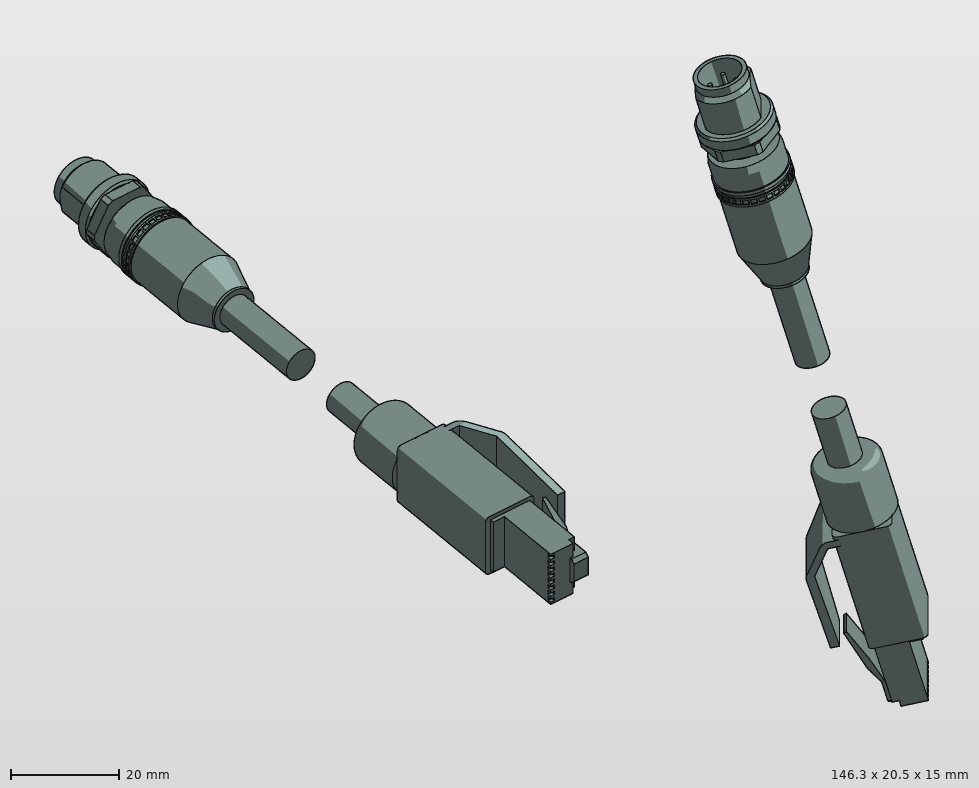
import cadquery as cq
import math


TOTAL_LENGTH = 146.3
TOTAL_WIDTH = 20.5
CABLE_RADIUS = 3.4

THREAD_RADIUS = 6.0
TIP_RADIUS = 5.1
TIP_LENGTH = 1.8
THREAD_START = 2.6
FLAT_HALF_WIDTH = 5.3
FLANGE_START = 10.0
FLANGE_END = 12.9
FLANGE_RADIUS = 15.0 / 2
FLANGE_CHAMFER = 0.5
HEX_END = 15.2
HEX_ACROSS_FLATS = 13.6
BORE_RADIUS = 4.2

CARRIER_FACE = 5.9
PIN_TIP = 2.2
PIN_RADIUS = 0.5
PIN_CIRCLE_RADIUS = 2.5
PIN_COUNT = 4
GRIP_START = 17.3
GRIP_START_RADIUS = 6.9
GRIP_RADIUS = 14.5 / 2
GRIP_FULL = 19.0
RING_RADIUS = FLANGE_RADIUS
RING_START = 22.5
RING_END = 23.3
KNURL_START = 24.0
KNURL_END = 25.9
KNURL_RIM = 0.5
KNURL_COUNT = 30
KNURL_NOTCH_WIDTH = 1.2
CONE_START = 39.8
CONE_END = 47.0
CONE_END_RADIUS = 4.7
GRIP_END = 47.5
GRIP_CABLE_END = 67.6

BOOT_CABLE_START = 79.6
SLEEVE_START = 91.3
SLEEVE_RADIUS = 6.9
SLEEVE_FILLET = 1.6
HOUSING_START = 103.9
HOUSING_END = 130.4
HOUSING_HALF_Y = 5.7
HOUSING_HALF_Z = SLEEVE_RADIUS
HOUSING_FILLET = 1.0
GUARD_START = 104.6
GUARD_POST = 1.5
GUARD_ROOT_Y = 4.4
GUARD_BEND_Y = 7.9
GUARD_TOP_X = 112.1
GUARD_TOP_Y = TOTAL_WIDTH - FLANGE_RADIUS
GUARD_THICKNESS = 1.8
GUARD_OUTER_BEND = 2.2
GUARD_END_HALF_Z = 4.0

PLUG_END = 145.2
PLUG_HALF_Z = 6.0
PLUG_TOP_Y = 4.7
PLUG_BOTTOM_Y = -1.9
LIP_LENGTH = 0.9
LIP_BOTTOM_Y = -4.5
CONTACT_COUNT = 8
CONTACT_PITCH = 1.5
CONTACT_SLOT_WIDTH = 0.7
CONTACT_SLOT_LENGTH = 0.9
CONTACT_SLOT_DEPTH = 0.9
NOSE_STEP_START = 143.8
NOSE_STEP_Y = 3.4
LATCH_WIDTH = 5.7
LATCH_NOSE_CHAMFER = 0.7
LATCH_FOOT_Y = 2.6
LATCH_TOP_Y = 6.0
LATCH_ARM_START = 141.0
LATCH_ARM_BOTTOM = (139.6, 5.7)
LATCH_HUMP_TOP = (137.4, 7.8)
LATCH_HUMP_BOTTOM = (135.2, 6.9)
LATCH_TIP_TOP = (128.5, 10.0)
LATCH_TIP_BOTTOM = (128.2, 9.4)


def cylinder(start, end, radius):
    return cq.Workplane("YZ", origin=(start, 0, 0)).circle(radius).extrude(end - start)


def box(x_range, y_range, z_range):
    size = [high - low for low, high in (x_range, y_range, z_range)]
    return cq.Workplane("XY").box(*size, centered=False).translate((x_range[0], y_range[0], z_range[0]))


def revolve_about_x(profile):
    return cq.Workplane("XY").polyline(profile).close().revolve(360, (0, 0, 0), (1, 0, 0))


def make_coupling_nut():
    thread = revolve_about_x([
        (0, 0),
        (0, TIP_RADIUS),
        (TIP_LENGTH, TIP_RADIUS),
        (THREAD_START, THREAD_RADIUS),
        (FLANGE_START, THREAD_RADIUS),
        (FLANGE_START, 0),
    ])
    thread = thread.intersect(box(
        (0, FLANGE_START),
        (-FLAT_HALF_WIDTH, FLAT_HALF_WIDTH),
        (-THREAD_RADIUS, THREAD_RADIUS),
    ))
    flange = cylinder(FLANGE_START, FLANGE_END, FLANGE_RADIUS).edges().chamfer(FLANGE_CHAMFER)
    hexagon_diameter = HEX_ACROSS_FLATS / math.cos(math.pi / 6)
    hexagon = (
        cq.Workplane("YZ", origin=(FLANGE_END, 0, 0))
        .polygon(6, hexagon_diameter)
        .extrude(HEX_END - FLANGE_END)
        .intersect(cylinder(FLANGE_END, HEX_END, FLANGE_RADIUS))
    )
    return thread.union(flange).union(hexagon).cut(cylinder(0, HEX_END, BORE_RADIUS))


def make_knurl():
    knurl = cylinder(KNURL_START, KNURL_END, RING_RADIUS)
    notch = box(
        (KNURL_START + KNURL_RIM, KNURL_END - KNURL_RIM),
        (-KNURL_NOTCH_WIDTH / 2, KNURL_NOTCH_WIDTH / 2),
        (GRIP_RADIUS, 2 * RING_RADIUS - GRIP_RADIUS),
    )
    for i in range(KNURL_COUNT):
        knurl = knurl.cut(notch.rotate((0, 0, 0), (1, 0, 0), i * 360 / KNURL_COUNT))
    return knurl


def make_grip():
    grip = revolve_about_x([
        (CARRIER_FACE, 0),
        (CARRIER_FACE, BORE_RADIUS),
        (GRIP_START, BORE_RADIUS),
        (GRIP_START, GRIP_START_RADIUS),
        (GRIP_FULL, GRIP_RADIUS),
        (CONE_START, GRIP_RADIUS),
        (CONE_END, CONE_END_RADIUS),
        (GRIP_END, CONE_END_RADIUS),
        (GRIP_END, CABLE_RADIUS),
        (GRIP_CABLE_END, CABLE_RADIUS),
        (GRIP_CABLE_END, 0),
    ])
    grip = grip.union(cylinder(RING_START, RING_END, RING_RADIUS)).union(make_knurl())
    pins = (
        cq.Workplane("YZ", origin=(PIN_TIP, 0, 0))
        .polarArray(PIN_CIRCLE_RADIUS, 0, 360, PIN_COUNT)
        .circle(PIN_RADIUS)
        .extrude(CARRIER_FACE - PIN_TIP)
    )
    return grip.union(pins)


def make_latch_guard():
    slope = (GUARD_TOP_Y - GUARD_BEND_Y) / (GUARD_TOP_X - GUARD_START)
    inner_x = GUARD_START + GUARD_POST
    inner_top_y = GUARD_TOP_Y - GUARD_THICKNESS
    inner_bend_y = inner_top_y - slope * (GUARD_TOP_X - inner_x)
    guard = (
        cq.Workplane("XY", origin=(0, 0, -HOUSING_HALF_Z))
        .polyline([
            (GUARD_START, GUARD_ROOT_Y),
            (GUARD_START, GUARD_BEND_Y),
            (GUARD_TOP_X, GUARD_TOP_Y),
            (HOUSING_END, GUARD_TOP_Y),
            (HOUSING_END, inner_top_y),
            (GUARD_TOP_X, inner_top_y),
            (inner_x, inner_bend_y),
            (inner_x, GUARD_ROOT_Y),
        ])
        .close()
        .extrude(2 * HOUSING_HALF_Z)
    )
    for bend in [(GUARD_START, GUARD_BEND_Y, 0), (GUARD_TOP_X, GUARD_TOP_Y, 0)]:
        guard = guard.edges(cq.selectors.NearestToPointSelector(bend)).fillet(GUARD_OUTER_BEND)
    taper = (
        cq.Workplane("XZ", origin=(0, GUARD_ROOT_Y, 0))
        .polyline([
            (GUARD_START, -HOUSING_HALF_Z),
            (inner_x, -HOUSING_HALF_Z),
            (HOUSING_END, -GUARD_END_HALF_Z),
            (HOUSING_END, GUARD_END_HALF_Z),
            (inner_x, HOUSING_HALF_Z),
            (GUARD_START, HOUSING_HALF_Z),
        ])
        .close()
        .extrude(GUARD_ROOT_Y - GUARD_TOP_Y)
    )
    return guard.intersect(taper)


def make_boot():
    cable = cylinder(BOOT_CABLE_START, SLEEVE_START, CABLE_RADIUS)
    sleeve = cylinder(SLEEVE_START, HOUSING_START, SLEEVE_RADIUS).faces("<X").edges().fillet(SLEEVE_FILLET)
    housing = box(
        (HOUSING_START, HOUSING_END),
        (-HOUSING_HALF_Y, HOUSING_HALF_Y),
        (-HOUSING_HALF_Z, HOUSING_HALF_Z),
    ).edges("|X").fillet(HOUSING_FILLET)
    return housing.union(sleeve).union(cable).union(make_latch_guard())


def make_latch():
    return (
        cq.Workplane("XY", origin=(0, 0, -LATCH_WIDTH / 2))
        .polyline([
            (PLUG_END, LATCH_FOOT_Y),
            (TOTAL_LENGTH, LATCH_FOOT_Y),
            (TOTAL_LENGTH, LATCH_TOP_Y),
            (LATCH_ARM_START, LATCH_TOP_Y),
            LATCH_HUMP_TOP,
            LATCH_TIP_TOP,
            LATCH_TIP_BOTTOM,
            LATCH_HUMP_BOTTOM,
            LATCH_ARM_BOTTOM,
            (NOSE_STEP_START, PLUG_TOP_Y),
            (NOSE_STEP_START, NOSE_STEP_Y),
            (PLUG_END, NOSE_STEP_Y),
        ])
        .close()
        .extrude(LATCH_WIDTH)
        .faces(">X").edges("|Y").chamfer(LATCH_NOSE_CHAMFER)
    )


def make_plug():
    z_range = (-PLUG_HALF_Z, PLUG_HALF_Z)
    lip = box((HOUSING_END, HOUSING_END + LIP_LENGTH), (LIP_BOTTOM_Y, PLUG_TOP_Y), z_range)
    plug = box((HOUSING_END, PLUG_END), (PLUG_BOTTOM_Y, PLUG_TOP_Y), z_range).union(lip)
    for i in range(CONTACT_COUNT):
        z_middle = (i - (CONTACT_COUNT - 1) / 2) * CONTACT_PITCH
        plug = plug.cut(box(
            (PLUG_END - CONTACT_SLOT_LENGTH, PLUG_END),
            (PLUG_BOTTOM_Y, PLUG_BOTTOM_Y + CONTACT_SLOT_DEPTH),
            (z_middle - CONTACT_SLOT_WIDTH / 2, z_middle + CONTACT_SLOT_WIDTH / 2),
        ))
    nose_step = box((NOSE_STEP_START, PLUG_END), (NOSE_STEP_Y, PLUG_TOP_Y), z_range)
    return plug.cut(nose_step).union(make_latch())


coupling_nut = make_coupling_nut()
grip = make_grip()
boot = make_boot()
plug = make_plug()

result = cq.Compound.makeCompound([coupling_nut.val(), grip.val(), boot.val(), plug.val()])